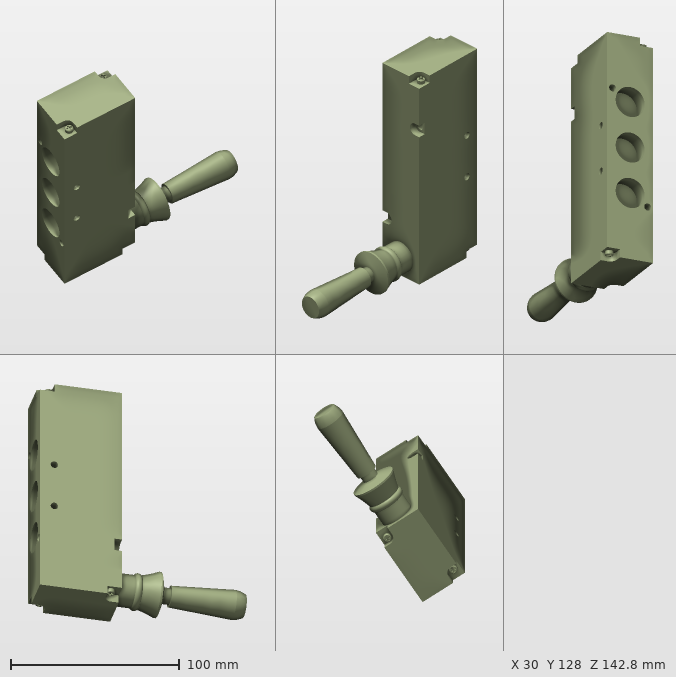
import cadquery as cq
import math

BODY_WIDTH = 30.0
BODY_DEPTH = 50.0
BODY_HEIGHT = 142.2
BACK_Y = BODY_DEPTH / 2
FRONT_Y = -BODY_DEPTH / 2
SIDE_X = BODY_WIDTH / 2
TOP_Z = BODY_HEIGHT / 2

PORT_DIAMETER = 19.0
PORT_DEPTH = 11.0
PORT_PITCH = 29.0

MOUNT_DIAMETER = 4.5
MOUNT_X = 11.5
MOUNT_Z = 36.0
HEAD_SLOT_WIDTH = 8.0
HEAD_SLOT_DEPTH = 4.7

CROSS_DIAMETER = 4.5
CROSS_FROM_FRONT = 8.75

POCKET_WIDTH = 8.4
POCKET_LENGTH = 9.0
POCKET_DEPTH = 5.15
POCKET_RADIUS = 4.25
SCREW_FROM_SIDE = 4.2
SCREW_FROM_END = 6.0
SCREW_DIAMETER = 5.0
SCREW_HEIGHT = 2.6
SCREW_CHAMFER = 0.4
RECESS_SPAN = 3.5
RECESS_ARM = 1.1
RECESS_DEPTH = 1.2

LEVER_AXIS_HEIGHT = 13.28
LEVER_AXIS_Z = LEVER_AXIS_HEIGHT - TOP_Z
SLEEVE_RADIUS = 10.0
RING_START = 9.7
RING_END = 14.0
RING_RADIUS = 11.3
SKIRT_BASE_RADIUS = 10.3
SKIRT_MID_RADIUS = 11.8
SKIRT_RIM_RADIUS = 13.85
RIM_START = 24.5
RIM_END = 25.6
DOME_END = 28.1
DOME_BULGE = 0.2
STEM_RADIUS = 5.0
GRIP_START = 32.5
GRIP_BASE_RADIUS = 6.5
GRIP_RADIUS = 9.0
GRIP_TAPER_END = 71.4
GRIP_END_RADIUS = 7.0
LEVER_LENGTH = 78.0


def hole_along_y(diameter, depth, x, z):
    """Cylinder running from the front face into the body."""
    plane = cq.Workplane("XZ", origin=(x, FRONT_Y, z))
    return plane.circle(diameter / 2).extrude(-depth)


def cut_ports(body):
    for row in (-1, 0, 1):
        body = body.cut(hole_along_y(PORT_DIAMETER, PORT_DEPTH, 0, row * PORT_PITCH))
    return body


def head_slot(side):
    """Slot in the back face, round around the mounting hole and open to the nearer side."""
    centre = (side * MOUNT_X, BACK_Y, -side * MOUNT_Z)
    plane = cq.Workplane("XZ", origin=centre)
    run_out = SIDE_X - MOUNT_X
    round_end = plane.circle(HEAD_SLOT_WIDTH / 2).extrude(HEAD_SLOT_DEPTH)
    channel = plane.center(side * run_out / 2, 0).rect(run_out, HEAD_SLOT_WIDTH).extrude(HEAD_SLOT_DEPTH)
    return round_end.union(channel)


def cut_mounting_holes(body):
    for side in (-1, 1):
        hole = hole_along_y(MOUNT_DIAMETER, BODY_DEPTH, side * MOUNT_X, -side * MOUNT_Z)
        body = body.cut(hole).cut(head_slot(side))
    return body


def cut_cross_holes(body):
    for side in (-1, 1):
        start = (-SIDE_X, FRONT_Y + CROSS_FROM_FRONT, side * PORT_PITCH / 2)
        hole = cq.Workplane("YZ", origin=start).circle(CROSS_DIAMETER / 2).extrude(BODY_WIDTH)
        body = body.cut(hole)
    return body


def cap_pocket():
    """Pocket in the top corner at -X, +Y with its inner corner rounded."""
    centre = (POCKET_WIDTH / 2 - SIDE_X, BACK_Y - POCKET_LENGTH / 2, TOP_Z - POCKET_DEPTH)
    block = cq.Workplane(origin=centre).rect(POCKET_WIDTH, POCKET_LENGTH).extrude(POCKET_DEPTH)
    return block.edges("|Z and >X and <Y").fillet(POCKET_RADIUS)


def cap_screw():
    """Cross-recessed screw head standing on the floor of the top pocket."""
    seat = (SCREW_FROM_SIDE - SIDE_X, BACK_Y - SCREW_FROM_END, TOP_Z - POCKET_DEPTH)
    head = cq.Workplane(origin=seat).circle(SCREW_DIAMETER / 2).extrude(SCREW_HEIGHT)
    head = head.faces(">Z").chamfer(SCREW_CHAMFER)
    face = head.faces(">Z").workplane()
    arm_x = face.rect(RECESS_SPAN, RECESS_ARM).extrude(-RECESS_DEPTH, combine=False)
    arm_y = face.rect(RECESS_ARM, RECESS_SPAN).extrude(-RECESS_DEPTH, combine=False)
    return head.cut(arm_x).cut(arm_y)


def at_cap_corners(shape):
    """The four placements of a cap feature: two on top, and both turned over about X."""
    top_pair = [shape, shape.rotate((0, 0, 0), (0, 0, 1), 180)]
    bottom_pair = [placed.rotate((0, 0, 0), (1, 0, 0), 180) for placed in top_pair]
    return top_pair + bottom_pair


def fit_cap_screws(body):
    for pocket in at_cap_corners(cap_pocket()):
        body = body.cut(pocket)
    for screw in at_cap_corners(cap_screw()):
        body = body.union(screw)
    return body


def lever():
    dome_mid = ((SKIRT_RIM_RADIUS + STEM_RADIUS) / 2, (RIM_END + DOME_END) / 2 + DOME_BULGE)
    tip_length = LEVER_LENGTH - GRIP_TAPER_END
    tip_inset = GRIP_RADIUS - GRIP_END_RADIUS
    tip_arc_radius = (tip_length**2 + tip_inset**2) / (2 * tip_inset)
    tip_half_angle = math.asin(tip_length / tip_arc_radius) / 2
    tip_mid = (
        GRIP_RADIUS - tip_arc_radius * (1 - math.cos(tip_half_angle)),
        GRIP_TAPER_END + tip_arc_radius * math.sin(tip_half_angle),
    )
    profile = (
        cq.Workplane("XY", origin=(0, BACK_Y, LEVER_AXIS_Z))
        .lineTo(SLEEVE_RADIUS, 0)
        .lineTo(SLEEVE_RADIUS, RING_START)
        .threePointArc((RING_RADIUS, (RING_START + RING_END) / 2), (SLEEVE_RADIUS, RING_END))
        .lineTo(SKIRT_BASE_RADIUS, RING_END)
        .threePointArc(
            (SKIRT_MID_RADIUS, (RING_END + RIM_START) / 2),
            (SKIRT_RIM_RADIUS, RIM_START),
        )
        .lineTo(SKIRT_RIM_RADIUS, RIM_END)
        .threePointArc(dome_mid, (STEM_RADIUS, DOME_END))
        .lineTo(STEM_RADIUS, GRIP_START)
        .lineTo(GRIP_BASE_RADIUS, GRIP_START)
        .lineTo(GRIP_RADIUS, GRIP_TAPER_END)
        .threePointArc(tip_mid, (GRIP_END_RADIUS, LEVER_LENGTH))
        .lineTo(0, LEVER_LENGTH)
        .close()
    )
    return profile.revolve(360, (0, 0, 0), (0, 1, 0))


valve = cq.Workplane().box(BODY_WIDTH, BODY_DEPTH, BODY_HEIGHT)
valve = cut_ports(valve)
valve = cut_mounting_holes(valve)
valve = cut_cross_holes(valve)
valve = fit_cap_screws(valve)
result = valve.union(lever())